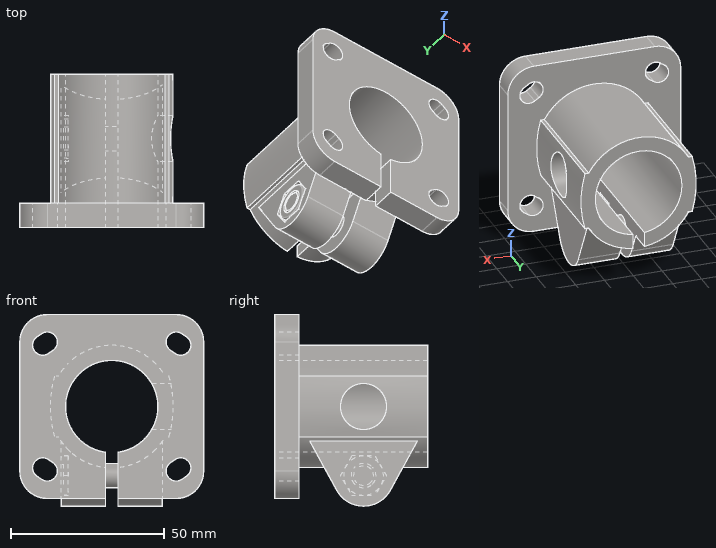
import cadquery as cq
import math

FLANGE_SIDE = 60.0
FLANGE_THICKNESS = 8.0
FLANGE_CORNER_RADIUS = 9.0

LENGTH = 50.0
TUBE_RADIUS = 20.0
BORE_DIAMETER = 30.0
SLIT_WIDTH = 4.0

PAD_HALF_HEIGHT = 10.0
PAD_EDGE_X = 18.6

SLOT_WIDTH = 6.5
SQUARE_PATTERN = 42.0
WIDE_PATTERN_X = 45.0
WIDE_PATTERN_Z = 40.0

LUG_HALF_THICKNESS = 16.5
LUG_TOP_LENGTH = 35.0
LUG_END_RADIUS = 10.0
LUG_TOP_Z = -math.sqrt(TUBE_RADIUS**2 - LUG_HALF_THICKNESS**2)
CLAMP_Y = (FLANGE_THICKNESS + LENGTH) / 2
CLAMP_Z = -22.5

SIDE_HOLE_DIAMETER = 15.0

BOLT_DIAMETER = 8.0
BOLT_CHAMFER = 0.8
NUT_ACROSS_FLATS = 13.0
NUT_ACROSS_CORNERS = NUT_ACROSS_FLATS / math.cos(math.pi / 6)
NUT_HEIGHT = 8.0
COLLAR_TOP_DIAMETER = 12.6
COLLAR_BASE_DIAMETER = 12.9
COLLAR_FILLET = 0.5
COLLAR_HEIGHT = 2.2
NUT_SHOULDER_ANGLE = 15.0


def front_plane():
    """Sketch plane on the flange face with local axes X and Z; negative extrusion runs toward +Y."""
    return cq.Workplane("XZ")


def across_clamp(x):
    """Sketch plane across the clamp axis at X = x; local axes are Y and Z."""
    return cq.Workplane("YZ", origin=(x, CLAMP_Y, CLAMP_Z))


def make_flange():
    plate = front_plane().rect(FLANGE_SIDE, FLANGE_SIDE).extrude(-FLANGE_THICKNESS)
    return plate.edges("|Y").fillet(FLANGE_CORNER_RADIUS)


def make_tube():
    """Round tube whose flanks step out to flatter arcs between the pad edges."""
    step_x = math.sqrt(TUBE_RADIUS**2 - PAD_HALF_HEIGHT**2)
    return (
        front_plane()
        .moveTo(-step_x, PAD_HALF_HEIGHT)
        .threePointArc((0, TUBE_RADIUS), (step_x, PAD_HALF_HEIGHT))
        .lineTo(PAD_EDGE_X, PAD_HALF_HEIGHT)
        .threePointArc((TUBE_RADIUS, 0), (PAD_EDGE_X, -PAD_HALF_HEIGHT))
        .lineTo(step_x, -PAD_HALF_HEIGHT)
        .threePointArc((0, -TUBE_RADIUS), (-step_x, -PAD_HALF_HEIGHT))
        .lineTo(-PAD_EDGE_X, -PAD_HALF_HEIGHT)
        .threePointArc((-TUBE_RADIUS, 0), (-PAD_EDGE_X, PAD_HALF_HEIGHT))
        .close()
        .extrude(-LENGTH)
    )


def make_lug():
    """Triangular lug whose two sloping sides are tangent to its round end."""
    half_top = LUG_TOP_LENGTH / 2
    top = LUG_TOP_Z - CLAMP_Z
    corner_distance = math.hypot(half_top, top)
    tangent_angle = math.atan2(top, half_top) - math.acos(LUG_END_RADIUS / corner_distance)
    tangent_y = LUG_END_RADIUS * math.cos(tangent_angle)
    tangent_z = LUG_END_RADIUS * math.sin(tangent_angle)
    return (
        across_clamp(-LUG_HALF_THICKNESS)
        .moveTo(-half_top, top)
        .lineTo(half_top, top)
        .lineTo(tangent_y, tangent_z)
        .threePointArc((0, -LUG_END_RADIUS), (-tangent_y, tangent_z))
        .close()
        .extrude(2 * LUG_HALF_THICKNESS)
    )


def cut_flange_slots(body):
    run_x = (WIDE_PATTERN_X - SQUARE_PATTERN) / 2
    run_z = (WIDE_PATTERN_Z - SQUARE_PATTERN) / 2
    middle_x = (WIDE_PATTERN_X + SQUARE_PATTERN) / 4
    middle_z = (WIDE_PATTERN_Z + SQUARE_PATTERN) / 4
    slot_length = math.hypot(run_x, run_z) + SLOT_WIDTH
    for side_x in (-1, 1):
        for side_z in (-1, 1):
            slot_angle = math.degrees(math.atan2(side_z * run_z, side_x * run_x))
            slot = (
                front_plane()
                .center(side_x * middle_x, side_z * middle_z)
                .slot2D(slot_length, SLOT_WIDTH, slot_angle)
                .extrude(-FLANGE_THICKNESS)
            )
            body = body.cut(slot)
    return body


def cut_bore_and_slit(body):
    bore = front_plane().circle(BORE_DIAMETER / 2).extrude(-LENGTH)
    slit = front_plane().center(0, -FLANGE_SIDE / 2).rect(SLIT_WIDTH, FLANGE_SIDE).extrude(-LENGTH)
    return body.cut(bore).cut(slit)


def cut_side_hole(body):
    hole = cq.Workplane("YZ", origin=(0, CLAMP_Y, 0)).circle(SIDE_HOLE_DIAMETER / 2).extrude(TUBE_RADIUS)
    return body.cut(hole)


def make_nut_profile():
    """Turned shape of the nut face: filleted, slightly tapered collar above a sloping shoulder."""
    collar_top = COLLAR_TOP_DIAMETER / 2
    collar_base = COLLAR_BASE_DIAMETER / 2
    corner = NUT_ACROSS_CORNERS / 2
    shoulder_drop = (corner - collar_base) * math.tan(math.radians(NUT_SHOULDER_ANGLE))
    fillet_mid = COLLAR_FILLET * (1 - math.sqrt(0.5))
    return (
        cq.Workplane("XY", origin=(-LUG_HALF_THICKNESS, CLAMP_Y, CLAMP_Z))
        .lineTo(0, collar_top - COLLAR_FILLET)
        .threePointArc((fillet_mid, collar_top - fillet_mid), (COLLAR_FILLET, collar_top))
        .lineTo(COLLAR_HEIGHT, collar_base)
        .lineTo(COLLAR_HEIGHT + shoulder_drop, corner)
        .lineTo(NUT_HEIGHT, corner)
        .lineTo(NUT_HEIGHT, 0)
        .close()
        .revolve(360, (0, 0, 0), (1, 0, 0))
    )


def add_bolt_and_nut(body):
    nut_prism = across_clamp(-LUG_HALF_THICKNESS).polygon(6, NUT_ACROSS_CORNERS).extrude(NUT_HEIGHT)
    nut = nut_prism.intersect(make_nut_profile())
    bolt_hole = across_clamp(-LUG_HALF_THICKNESS).circle(BOLT_DIAMETER / 2).extrude(2 * LUG_HALF_THICKNESS)
    bolt = bolt_hole.faces("<X").chamfer(BOLT_CHAMFER)
    return body.cut(nut_prism).union(nut).cut(bolt_hole).union(bolt)


body = make_flange().union(make_tube()).union(make_lug())
body = cut_flange_slots(body)
body = cut_bore_and_slit(body)
body = cut_side_hole(body)
result = add_bolt_and_nut(body)